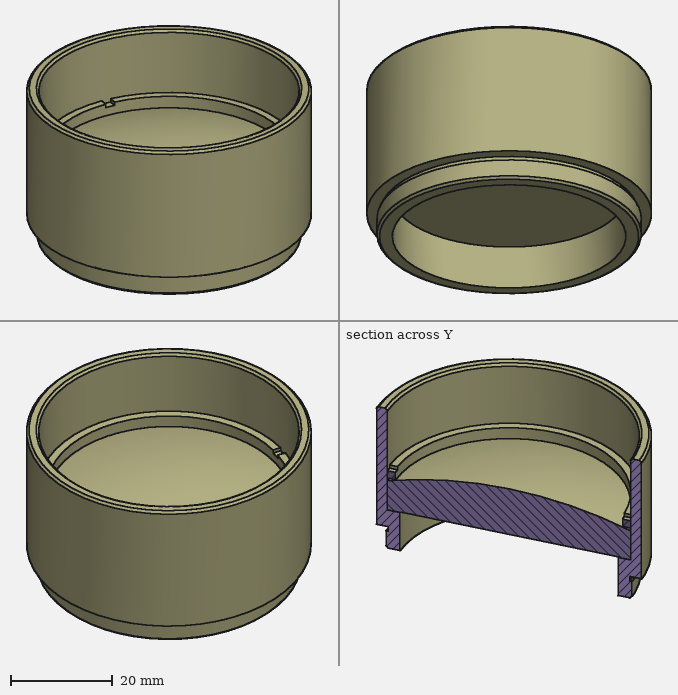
import cadquery as cq
import math

outer_radius = 28.0
height = 32.5
collar_radius = 26.0
groove_radius = 25.5
groove_bottom = 4.0
groove_top = 5.0
bore_radius = 25.6
aperture_radius = 22.95
seat_height = 8.95
edge_chamfer = 0.5

ring_inner_radius = 23.9
ring_bottom = 16.25
ring_top = 18.75
slot_width = 1.95
slot_depth = 0.7

lens_sag = 3.4
lens_apex = ring_bottom + lens_sag
lens_curvature = (ring_inner_radius**2 + lens_sag**2) / (2 * lens_sag)


def surface_height(radius):
    """Height of the lens's spherical face at a distance from the axis."""
    return lens_apex - lens_curvature + math.sqrt(lens_curvature**2 - radius**2)


def make_housing():
    """Barrel with a grooved lower collar and a bore stepped down to a lens seat."""
    outline = [
        (aperture_radius, 0),
        (collar_radius - edge_chamfer, 0),
        (collar_radius, edge_chamfer),
        (collar_radius, groove_bottom),
        (groove_radius, groove_bottom),
        (groove_radius, groove_top),
        (outer_radius, groove_top),
        (outer_radius, height - edge_chamfer),
        (outer_radius - edge_chamfer, height),
        (bore_radius + edge_chamfer, height),
        (bore_radius, height - edge_chamfer),
        (bore_radius, seat_height),
        (aperture_radius, seat_height),
    ]
    return cq.Workplane("XZ").polyline(outline).close().revolve(360, (0, 0), (0, 1))


def make_lens():
    """Plano-convex lens resting on the housing seat."""
    mid_radius = bore_radius / 2
    return (
        cq.Workplane("XZ")
        .moveTo(0, seat_height)
        .lineTo(bore_radius, seat_height)
        .lineTo(bore_radius, surface_height(bore_radius))
        .threePointArc((mid_radius, surface_height(mid_radius)), (0, lens_apex))
        .close()
        .revolve(360, (0, 0), (0, 1))
    )


def make_retaining_ring():
    """Ring above the lens, with two opposite wrench slots along X in its upper face."""
    ring = (
        cq.Workplane("XY")
        .workplane(offset=ring_bottom)
        .circle(bore_radius)
        .circle(ring_inner_radius)
        .extrude(ring_top - ring_bottom)
    )
    slots = (
        cq.Workplane("XY")
        .workplane(offset=ring_top - slot_depth)
        .rect(2 * outer_radius, slot_width)
        .extrude(slot_depth)
    )
    return ring.cut(slots)


housing = make_housing()
lens = make_lens()
retaining_ring = make_retaining_ring()

result = cq.Compound.makeCompound([housing.val(), lens.val(), retaining_ring.val()])